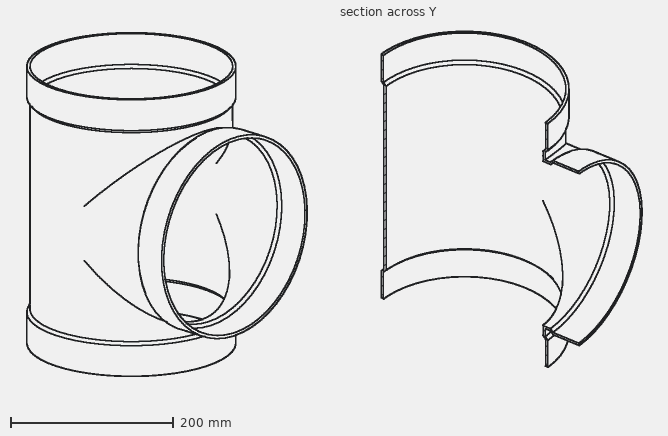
import cadquery as cq

pipe_diameter = 250.0
wall = 4.0
run_length = 360.0
branch_reach = 177.0
socket_depth = 40.0

pipe_radius = pipe_diameter / 2
bore_radius = pipe_radius - wall
socket_bore_radius = pipe_radius
socket_outer_radius = socket_bore_radius + wall
taper_length = wall
half_run = run_length / 2


def mouth_profile(reach, body_radius, socket_radius):
    """(radius, height) points from the pipe wall out to the centre of the socket mouth."""
    socket_start = reach - socket_depth
    taper_start = socket_start - taper_length
    return [
        (body_radius, taper_start),
        (socket_radius, socket_start),
        (socket_radius, reach),
        (0, reach),
    ]


def revolve_profile(points):
    """Solid of revolution about Z from (radius, height) points."""
    return cq.Workplane("XZ").polyline(points).close().revolve(360, (0, 0, 0), (0, 1, 0))


def straight_run(body_radius, socket_radius):
    """Vertical run with a socket at the top and its mirror image at the bottom."""
    upper = mouth_profile(half_run, body_radius, socket_radius)
    lower = [(radius, -height) for radius, height in reversed(upper)]
    return revolve_profile(lower + upper)


def branch(body_radius, socket_radius):
    """Single-socket arm starting at the tee centre and laid over onto +X."""
    mouth = mouth_profile(branch_reach, body_radius, socket_radius)
    upright = revolve_profile([(0, 0), (body_radius, 0)] + mouth)
    return upright.rotate((0, 0, 0), (0, 1, 0), 90)


def tee(body_radius, socket_radius):
    """Run and branch joined, with the two pipes meeting in a mitre."""
    return straight_run(body_radius, socket_radius).union(branch(body_radius, socket_radius))


outer_body = tee(pipe_radius, socket_outer_radius)
inner_passage = tee(bore_radius, socket_bore_radius)

result = outer_body.cut(inner_passage)